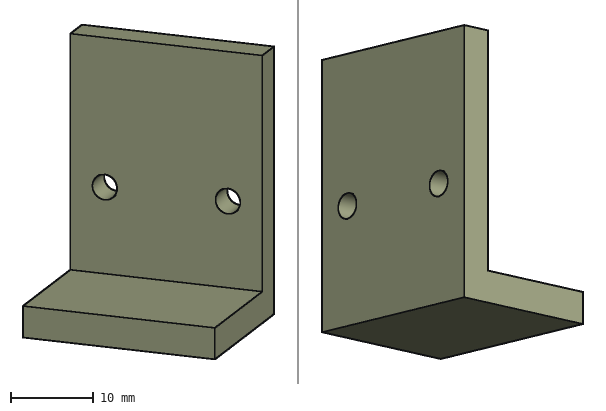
import cadquery as cq

width = 25.0
depth = 20.0
height = 34.0
thickness = 4.0

hole_diameter = 3.2
hole_spacing = 16.0
hole_height = 15.0

base = cq.Workplane("XY").box(width, depth, thickness, centered=(True, False, False))
wall = (
    cq.Workplane("XY")
    .box(width, thickness, height, centered=(True, False, False))
    .translate((0, depth - thickness, 0))
)
bracket = base.union(wall)

holes = (
    cq.Workplane("XZ", origin=(0, depth, hole_height))
    .pushPoints([(-hole_spacing / 2, 0), (hole_spacing / 2, 0)])
    .circle(hole_diameter / 2)
    .extrude(thickness)
)

result = bracket.cut(holes)